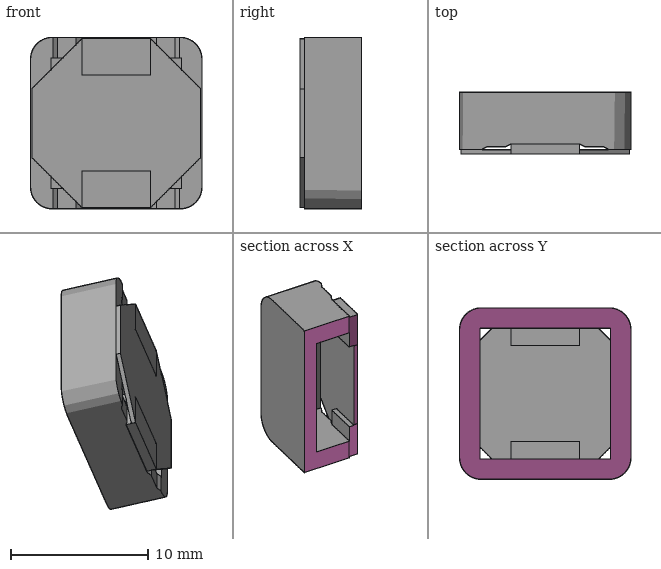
import cadquery as cq

side = 12.5
total_depth = 4.5
corner_radius = 1.6
plate_thickness = 0.32
housing_depth = total_depth - plate_thickness

cavity_side = 9.5
cavity_depth = 3.12

channel_outer_half = 4.61
channel_floor_half = 4.28
step_outer_half = 2.92
channel_depth = 0.19
step_depth = 0.39

plate_side = 12.3
terminal_width = 5.0
terminal_height = 2.65
terminal_thickness = plate_thickness + step_depth
plate_corner_cut = (plate_side - terminal_width) / 2

front_y = -total_depth / 2
seat_y = front_y + plate_thickness


def block(width, height, start_y, depth, centre_z=0.0):
    """Box centred on X that runs from start_y towards +Y."""
    return cq.Workplane("XY").box(width, depth, height).translate((0, start_y + depth / 2, centre_z))


def make_channel():
    """Cutter for the channel: sloped shoulders, shallow floors and a deeper middle."""
    half_profile = [
        (channel_outer_half, seat_y),
        (channel_floor_half, seat_y + channel_depth),
        (step_outer_half, seat_y + channel_depth),
        (terminal_width / 2, seat_y + step_depth),
    ]
    mirrored = [(-x, y) for x, y in reversed(half_profile)]
    return cq.Workplane("XY").polyline(half_profile + mirrored).close().extrude(side / 2, both=True)


def make_housing():
    body = block(side, side, seat_y, housing_depth).edges("|Y").fillet(corner_radius)
    cavity = block(cavity_side, cavity_side, seat_y, cavity_depth)
    return body.cut(cavity).cut(make_channel()).solids()


def make_terminal(direction):
    """Terminal at the +Z (direction 1) or -Z (direction -1) edge of the plate."""
    centre_z = direction * (plate_side - terminal_height) / 2
    return block(terminal_width, terminal_height, front_y, terminal_thickness, centre_z)


def make_plate(terminals):
    plate = block(plate_side, plate_side, front_y, plate_thickness).edges("|Y").chamfer(plate_corner_cut)
    for terminal in terminals:
        plate = plate.cut(terminal)
    return plate.solids()


housing = make_housing()
terminals = [make_terminal(direction) for direction in (1, -1)]
plate = make_plate(terminals)

result = cq.Compound.makeCompound([housing.val(), plate.val(), *[terminal.val() for terminal in terminals]])